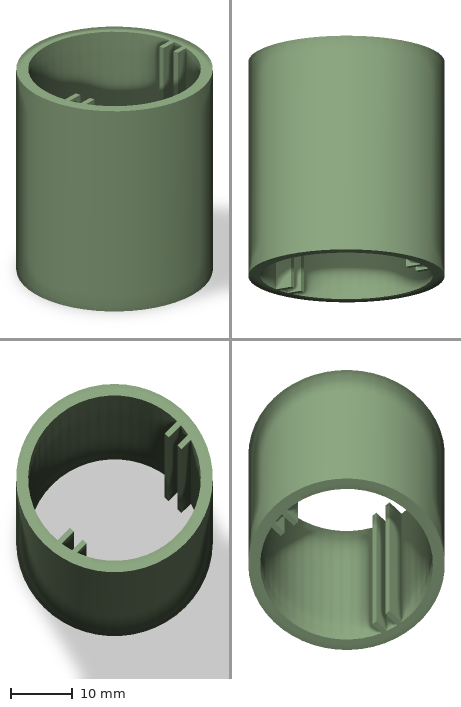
import cadquery as cq

height = 36.0
outer_diameter = 31.9
inner_diameter = 28.0

rib_thickness = 0.9
slot_width = 1.98
slot_center_x = 2.52
rib_tip_y = 11.1

wall = (outer_diameter - inner_diameter) / 2
rib_root_y = inner_diameter / 2 + wall / 2
rib_length = rib_root_y - rib_tip_y
rib_offset = (slot_width + rib_thickness) / 2


def make_rib(x, side):
    """Full-height rib centred on x, on the +Y (side=1) or -Y (side=-1) wall."""
    center_y = side * (rib_tip_y + rib_root_y) / 2
    return (
        cq.Workplane("XY")
        .center(x, center_y)
        .rect(rib_thickness, rib_length)
        .extrude(height)
    )


result = (
    cq.Workplane("XY")
    .circle(outer_diameter / 2)
    .circle(inner_diameter / 2)
    .extrude(height)
)
for side in (1, -1):
    for x in (slot_center_x - rib_offset, slot_center_x + rib_offset):
        result = result.union(make_rib(x, side))